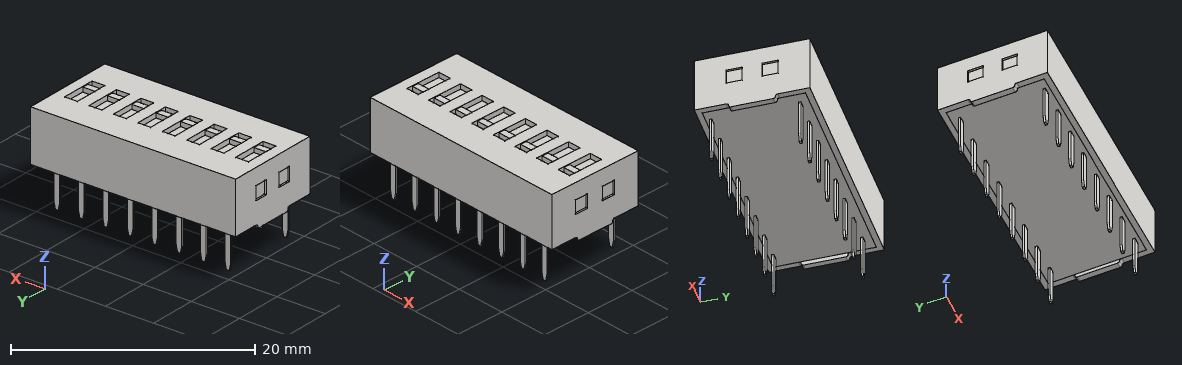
import cadquery as cq


WAYS = 8
PITCH = 2.54
ROW_SPACING = 3 * PITCH
PIN_ROWS_CENTER_Y = -0.17

LENGTH = 21.32
WIDTH = 9.9
HEIGHT = 5.3
WALL = 0.53
ROOF = 0.51
SLOT_WIDTH = 1.32
SLOT_LENGTH = 3.65
CAVITY_LENGTH = LENGTH - 2 * WALL
CAVITY_WIDTH = WIDTH - 2 * WALL
CAVITY_HEIGHT = HEIGHT - ROOF

FOOT_WIDTH = 4.0
FOOT_DROP = 0.4
FOOT_RADIUS = FOOT_DROP / 2

LATCH_SIZE = 1.39
LATCH_OFFSET_Y = 1.54
LATCH_CENTER_Z = 2.95
LATCH_RECESS = 0.2

PIN_LENGTH = 4.1
PIN_WIDTH = 0.6
PIN_TIP_WIDTH = 0.3
PIN_TAPER = 0.68
PIN_THICKNESS = 0.2

SLIDER_WIDTH = 1.25
SLIDER_LENGTH = 0.66
SLIDER_CENTER_Y = -0.9
SLIDER_BELOW_TOP = 0.05

END_SIDES = (-1, 1)
WAY_POSITIONS = [(i - (WAYS - 1) / 2) * PITCH for i in range(WAYS)]
CENTERED_ON_FLOOR = (True, True, False)


def block(length, width, height, x=0.0, y=0.0, z=0.0):
    """Box centred on (x, y) that stands on height z."""
    return cq.Workplane("XY").box(length, width, height, centered=CENTERED_ON_FLOOR).translate((x, y, z))


def latches(depth):
    """Square blocks in the end walls, reaching outward by depth from the cavity."""
    center_x = (CAVITY_LENGTH + depth) / 2
    bottom_z = LATCH_CENTER_Z - LATCH_SIZE / 2
    return [
        block(depth, LATCH_SIZE, LATCH_SIZE, side * center_x, row * LATCH_OFFSET_Y, bottom_z)
        for side in END_SIDES
        for row in (-1, 1)
    ]


def make_foot(side):
    """Standoff foot below one end wall, with filleted roots and rounded lower corners."""
    half_width = FOOT_WIDTH / 2
    half_root = half_width + FOOT_RADIUS
    half_tip = half_width - FOOT_RADIUS
    profile = (
        cq.Workplane("YZ")
        .moveTo(-half_root, 0)
        .radiusArc((-half_width, -FOOT_RADIUS), FOOT_RADIUS)
        .radiusArc((-half_tip, -FOOT_DROP), -FOOT_RADIUS)
        .lineTo(half_tip, -FOOT_DROP)
        .radiusArc((half_width, -FOOT_RADIUS), -FOOT_RADIUS)
        .radiusArc((half_root, 0), FOOT_RADIUS)
        .close()
    )
    foot = profile.extrude(WALL / 2, both=True)
    return foot.translate((side * (LENGTH - WALL) / 2, 0, 0))


def make_housing():
    """Shell open at the bottom, with slider slots, latch windows and feet."""
    shell = block(LENGTH, WIDTH, HEIGHT).cut(block(CAVITY_LENGTH, CAVITY_WIDTH, CAVITY_HEIGHT))
    for x in WAY_POSITIONS:
        shell = shell.cut(block(SLOT_WIDTH, SLOT_LENGTH, ROOF, x, 0, CAVITY_HEIGHT))
    for window in latches(WALL):
        shell = shell.cut(window)
    for side in END_SIDES:
        shell = shell.union(make_foot(side))
    return shell


def make_pin(x, y):
    """Flat pin hanging below the base, tapered to its tip."""
    half_width = PIN_WIDTH / 2
    half_tip = PIN_TIP_WIDTH / 2
    taper_z = PIN_TAPER - PIN_LENGTH
    return (
        cq.Workplane("XZ")
        .polyline([
            (-half_width, 0),
            (half_width, 0),
            (half_width, taper_z),
            (half_tip, -PIN_LENGTH),
            (-half_tip, -PIN_LENGTH),
            (-half_width, taper_z),
        ])
        .close()
        .extrude(PIN_THICKNESS / 2, both=True)
        .translate((x, y, 0))
    )


def make_base():
    """Base filling the housing cavity, with latches at its ends and two rows of pins."""
    base = block(CAVITY_LENGTH, CAVITY_WIDTH, CAVITY_HEIGHT)
    for latch in latches(WALL - LATCH_RECESS):
        base = base.union(latch)
    for x in WAY_POSITIONS:
        for row in (-1, 1):
            base = base.union(make_pin(x, PIN_ROWS_CENTER_Y + row * ROW_SPACING / 2))
    return base


def make_slider(x):
    """Actuator block standing on the base inside one slot."""
    height = ROOF - SLIDER_BELOW_TOP
    return block(SLIDER_WIDTH, SLIDER_LENGTH, height, x, SLIDER_CENTER_Y, CAVITY_HEIGHT)


housing = make_housing()
base = make_base()
sliders = [make_slider(x) for x in WAY_POSITIONS]

result = cq.Compound.makeCompound(
    [housing.solids().val(), base.solids().val(), *[slider.solids().val() for slider in sliders]]
)